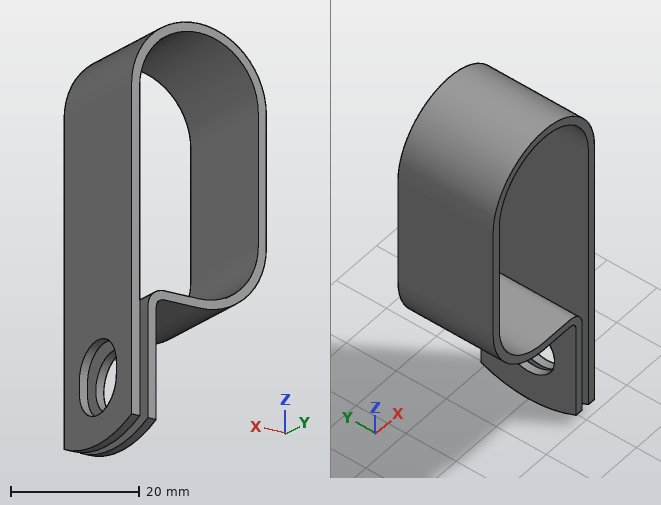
import cadquery as cq

height = 69.75
loop_width = 25.25
strap_width = 19.05
thickness = 1.5
flange_gap = 1.5
lower_arc_z = 35.0
bend_radius = 3.1
hole_diameter = 10.4
slot_length = 12.5
hole_z = 11.15
end_sagitta = 2.15

loop_radius = loop_width / 2
inner_radius = loop_radius - thickness
upper_arc_z = height - loop_radius
shelf_bottom_z = lower_arc_z - loop_radius
shelf_top_z = shelf_bottom_z + thickness
flange_outer_x = inner_radius - flange_gap
flange_inner_x = flange_outer_x - thickness
bend_x = flange_outer_x - bend_radius
bend_z = shelf_top_z - bend_radius
bend_inner_radius = bend_radius - thickness


def make_strap():
    """Bent strip: long flange, loop, shelf and short flange."""
    return (
        cq.Workplane("XZ")
        .moveTo(loop_radius, 0)
        .lineTo(loop_radius, upper_arc_z)
        .radiusArc((-loop_radius, upper_arc_z), -loop_radius)
        .lineTo(-loop_radius, lower_arc_z)
        .radiusArc((0, shelf_bottom_z), -loop_radius)
        .lineTo(bend_x, shelf_bottom_z)
        .radiusArc((flange_inner_x, bend_z), bend_inner_radius)
        .lineTo(flange_inner_x, 0)
        .lineTo(flange_outer_x, 0)
        .lineTo(flange_outer_x, bend_z)
        .radiusArc((bend_x, shelf_top_z), -bend_radius)
        .lineTo(0, shelf_top_z)
        .radiusArc((-inner_radius, lower_arc_z), inner_radius)
        .lineTo(-inner_radius, upper_arc_z)
        .radiusArc((inner_radius, upper_arc_z), inner_radius)
        .lineTo(inner_radius, 0)
        .close()
        .extrude(strap_width / 2, both=True)
    )


def make_end_envelope():
    """Block around the strap whose lower face rounds the flange ends."""
    half_width = strap_width / 2
    return (
        cq.Workplane("YZ")
        .moveTo(-half_width, height)
        .lineTo(-half_width, end_sagitta)
        .threePointArc((0, 0), (half_width, end_sagitta))
        .lineTo(half_width, height)
        .close()
        .extrude(loop_radius, both=True)
    )


def make_flange_hole(start_x, profile):
    """Cutter for one flange, extruded through its thickness from start_x."""
    return profile.extrude(thickness).translate((start_x, 0, hole_z))


round_hole = cq.Workplane("YZ").circle(hole_diameter / 2)
slot_hole = cq.Workplane("YZ").slot2D(slot_length, hole_diameter, 90)

result = (
    make_strap()
    .intersect(make_end_envelope())
    .cut(make_flange_hole(flange_inner_x, round_hole))
    .cut(make_flange_hole(inner_radius, slot_hole))
)